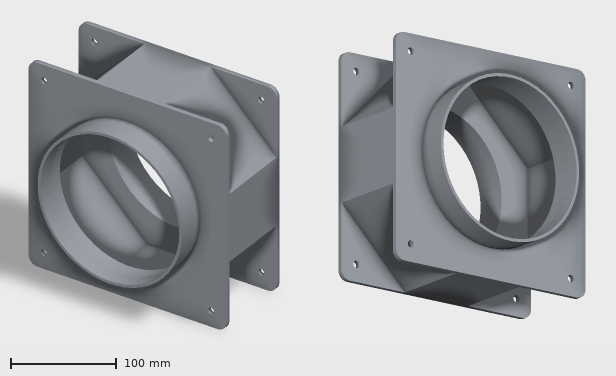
import cadquery as cq
import math

flange_size = 225.0
flange_gap = 80.0
flange_thickness = 5.0
corner_radius = 10.0
corner_cut = flange_size / 3

collar_length = 30.0
collar_diameter = 164.0

wall = 3.0

hole_diameter = 7.0
hole_pitch = 190.0

housing_depth = flange_gap + 2 * flange_thickness
overall_depth = housing_depth + 2 * collar_length
bore_diameter = collar_diameter - 2 * wall
cavity_depth = housing_depth - 2 * wall


def centred_on_y(outline, depth):
    """Extrude an XZ-plane outline by depth, centred on Y = 0."""
    return outline.extrude(depth / 2, both=True)


def square_prism(size, depth):
    return centred_on_y(cq.Workplane("XZ").rect(size, size), depth)


def cylinder(diameter, depth):
    return centred_on_y(cq.Workplane("XZ").circle(diameter / 2), depth)


def octagon_prism(inset, depth):
    """Square with 45 degree corner cuts, all eight sides moved inward by inset."""
    inset_corner_cut = corner_cut - inset * (2 - math.sqrt(2))
    return square_prism(flange_size - 2 * inset, depth).edges("|Y").chamfer(inset_corner_cut)


def flange(side):
    """Rounded square plate with four holes; side is -1 or +1 along Y."""
    plate = square_prism(flange_size, flange_thickness).edges("|Y").fillet(corner_radius)
    hole_centres = cq.Workplane("XZ").rect(hole_pitch, hole_pitch, forConstruction=True).vertices()
    holes = centred_on_y(hole_centres.circle(hole_diameter / 2), flange_thickness)
    centre_y = side * (flange_gap + flange_thickness) / 2
    return plate.cut(holes).translate((0, centre_y, 0))


body = octagon_prism(0, flange_gap)
for side in (-1, 1):
    body = body.union(flange(side))
body = body.union(cylinder(collar_diameter, overall_depth))

body = body.cut(octagon_prism(wall, cavity_depth))
result = body.cut(cylinder(bore_diameter, overall_depth))